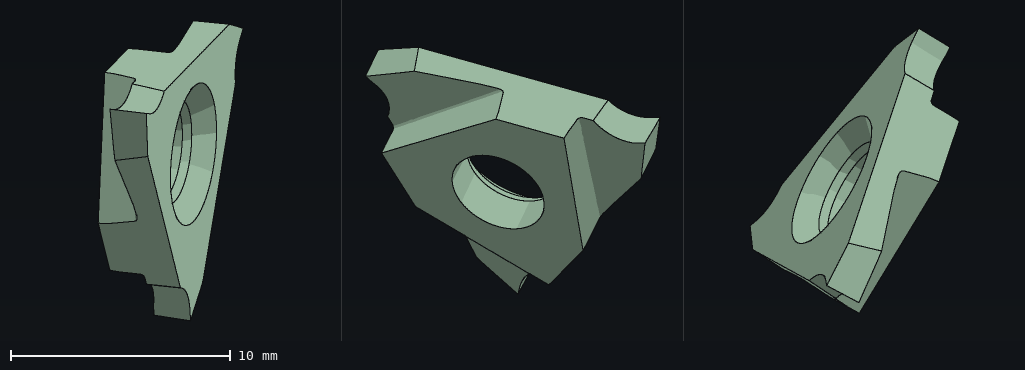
import cadquery as cq
import math

THICKNESS = 3.19
CORNERS = 3

INRADIUS = 4.73
BAND_DEPTH = 0.5
BACK_INRADIUS = 4.52

HOLE_RADIUS = 2.25
HOLE_STRAIGHT = 1.89
THROAT_DEPTH = 2.29
THROAT_RADIUS = 2.4
MOUTH_RADIUS = 3.27

TIP_RADIUS = 7.95
TIP_ANGLE = 32.8
FLANK_TILT = 5.7
FLANK_RELIEF = 2.0

NOTCH_CENTER = (5.46, 5.92)
NOTCH_RADIUS = 1.92
EDGE_ANGLE = 21.0

GROOVE_ORIGIN = (4.04, 4.63)
GROOVE_TILT = 7.8
GROOVE_SLOPE = 0.057
WALL_TOP = -0.8
WALL_BOTTOM = -0.69
WALL_FILLET = 0.2
STRIP_DEPTH = 1.6
LAND_START = 2.04
LAND_DEPTH = 1.38

REACH = 8.27

SEAT = cq.Plane(origin=(0, 0, 0), xDir=(0, -1, 0), normal=(-1, 0, 0))


def in_space(x, y, depth=0.0):
    """Space vector of a seat-plane point at the given depth."""
    return cq.Vector(depth, -x, y)


def triangle(inradius, depth):
    """Equilateral triangle, one side level on top, in the plane X = depth."""
    circumradius = 2 * inradius
    angles = [math.radians(30 + i * 360 / CORNERS) for i in range(CORNERS)]
    points = [(circumradius * math.cos(a), circumradius * math.sin(a)) for a in angles]
    return cq.Workplane(SEAT).workplane(offset=-depth).polyline(points).close()


def make_body():
    band = triangle(INRADIUS, 0).extrude(-BAND_DEPTH)
    taper = math.degrees(math.atan((INRADIUS - BACK_INRADIUS) / (THICKNESS - BAND_DEPTH)))
    tapered = triangle(INRADIUS, BAND_DEPTH).extrude(-(THICKNESS - BAND_DEPTH), taper=taper)
    return band.union(tapered)


def make_hole():
    return (
        cq.Workplane("XY")
        .lineTo(0, HOLE_RADIUS)
        .lineTo(HOLE_STRAIGHT, HOLE_RADIUS)
        .lineTo(THROAT_DEPTH, THROAT_RADIUS)
        .lineTo(THICKNESS, MOUTH_RADIUS)
        .lineTo(THICKNESS, 0)
        .close()
        .revolve(360, (0, 0, 0), (1, 0, 0))
    )


def make_flank_cutter():
    """Block outside the tip flank, which leans outward toward the back face."""
    tip_angle = math.radians(TIP_ANGLE)
    tip = in_space(TIP_RADIUS * math.cos(tip_angle), TIP_RADIUS * math.sin(tip_angle), THICKNESS)
    tilt = math.radians(FLANK_TILT)
    outward = in_space(math.cos(tilt), -math.sin(tilt))
    normal = outward - cq.Vector(math.tan(math.radians(FLANK_RELIEF)), 0, 0)
    along = in_space(math.sin(tilt), math.cos(tilt))
    plane = cq.Plane(origin=tip, xDir=along, normal=normal)
    return cq.Workplane(plane).rect(2 * REACH, 2 * REACH).extrude(REACH)


def make_notch_cutter():
    """Prism bounded by the notch arc and the straight edge tangent to it."""
    edge = math.radians(EDGE_ANGLE)
    center_x, center_y = NOTCH_CENTER
    left = (center_x - NOTCH_RADIUS, center_y)
    bottom = (center_x, center_y - NOTCH_RADIUS)
    arc_end = (center_x + NOTCH_RADIUS * math.sin(edge), center_y - NOTCH_RADIUS * math.cos(edge))
    edge_end = (arc_end[0] + REACH * math.cos(edge), arc_end[1] + REACH * math.sin(edge))
    return (
        cq.Workplane(SEAT)
        .moveTo(*left)
        .threePointArc(bottom, arc_end)
        .lineTo(*edge_end)
        .lineTo(left[0], edge_end[1])
        .close()
        .extrude(-THICKNESS)
    )


def make_groove_cutter():
    """Groove profile swept straight along the wall, deepening as it goes."""
    tilt = math.radians(GROOVE_TILT)
    outward = in_space(math.cos(tilt), math.sin(tilt))
    along = in_space(math.sin(tilt), -math.cos(tilt), GROOVE_SLOPE)
    start = in_space(*GROOVE_ORIGIN) - along * REACH
    lean = (WALL_BOTTOM - WALL_TOP) / STRIP_DEPTH
    plane = cq.Plane(origin=start, xDir=outward, normal=outward.cross(cq.Vector(1, 0, 0)))
    points = [
        (WALL_TOP - lean * REACH, -REACH),
        (WALL_BOTTOM, STRIP_DEPTH),
        (0, STRIP_DEPTH),
        (LAND_START, LAND_DEPTH),
        (REACH, LAND_DEPTH),
        (REACH, -REACH),
    ]
    sharp = cq.Workplane(plane).polyline(points).close()
    foot = plane.toWorldCoords((WALL_BOTTOM, STRIP_DEPTH))
    foot_vertex = sharp.vertices(cq.NearestToPointSelector(foot.toTuple())).val()
    outline = sharp.wires().val().fillet2D(WALL_FILLET, [foot_vertex])
    return cq.Workplane(cq.Solid.extrudeLinear(outline, [], along * (2 * REACH)))


result = make_body().cut(make_hole())
for cutter in (make_flank_cutter(), make_notch_cutter(), make_groove_cutter()):
    for corner in range(CORNERS):
        result = result.cut(cutter.rotate((0, 0, 0), (1, 0, 0), corner * 360 / CORNERS))